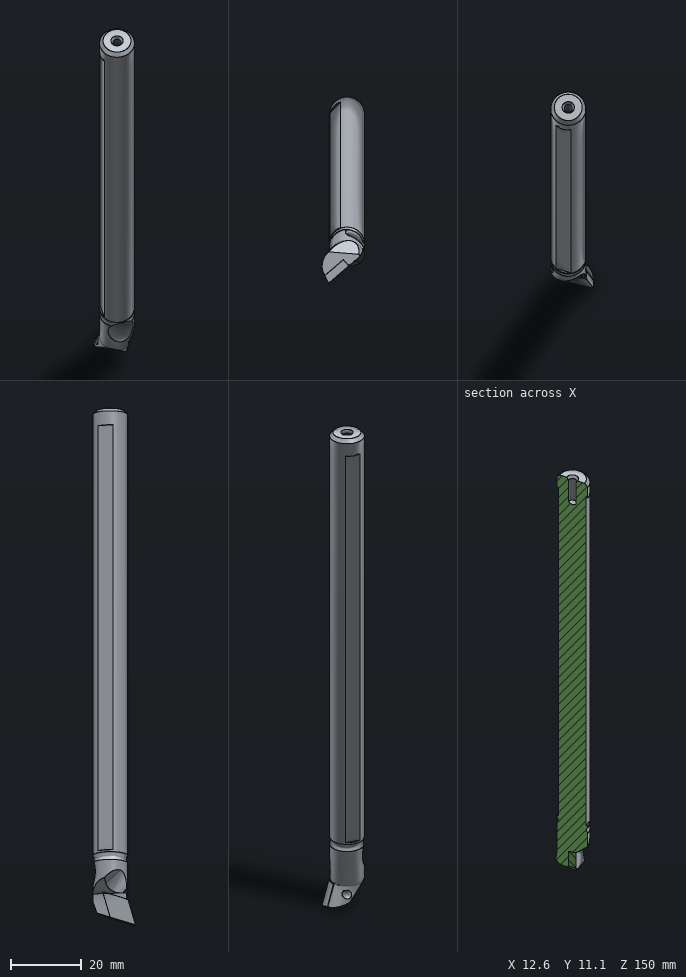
import cadquery as cq
import math

LENGTH = 150.0
SHANK_DIAMETER = LENGTH / 15
SHANK_RADIUS = SHANK_DIAMETER / 2
END_CHAMFER = 1.0
FLAT_HALF_SPACING = 4.5
FLAT_BOTTOM = 21.3
FLAT_TOP = 144.9
GROOVE_BOTTOM = 18.5
GROOVE_TOP = 20.7
GROOVE_DEPTH = 0.38

COOLANT_MOUTH_DIAMETER = 3.5
COOLANT_BORE_DIAMETER = 2.2
COOLANT_MOUTH_DEPTH = 0.9
COOLANT_DEPTH = 9.0
DRILL_POINT_ANGLE = 118.0

HEAD_TOP = 7.4
HEAD_LEAN_X = 0.25
HEAD_LEAN_Y = 0.23
BELOW_TIP = 3.0

OVERALL_WIDTH = 12.6
TIP_X = SHANK_RADIUS - OVERALL_WIDTH
RAKE_TILT = 9.0
INSERT_EDGE = 7.8
INSERT_THICKNESS = 2.4
CLEARANCE_ANGLE = 7.0
END_EDGE_ANGLE = 19.0
INSERT_TIP_ANGLE = 55.0
SCREW_HOLE_DIAMETER = 2.4

POCKET_FLOOR_TOP = 9.5
POCKET_WALL_ANGLE = 45.0
SCOOP_X = -4.5
SCOOP_START = 9.9
SCOOP_RADIUS = 8.7
SCOOP_ARC_ANGLE = 45.0
SCOOP_DROP = 0.87

SCALLOP_CENTRE_Z = 15.6
SCALLOP_DEPTH = 1.6
SCALLOP_RADIUS = 6.9

FACET_POINT = (2.1, -4.8, 6.5)
FACET_NORMAL = (8.5, -5.0, -6.3)

CUTTER_SIZE = 30.0

tilt_slope = math.tan(math.radians(RAKE_TILT))
rake_plane = cq.Plane(origin=(TIP_X, 0, 0), xDir=(1, tilt_slope, 0), normal=(tilt_slope, -1, 0))


def insert_corner(*edge_angles):
    """Local point reached from the tip by one insert edge along each angle."""
    return (
        sum(INSERT_EDGE * math.cos(math.radians(a)) for a in edge_angles),
        sum(INSERT_EDGE * math.sin(math.radians(a)) for a in edge_angles),
    )


side_edge_angle = END_EDGE_ANGLE + INSERT_TIP_ANGLE
far_corner = insert_corner(END_EDGE_ANGLE, side_edge_angle)


def rake_y(x):
    """Y of the rake plane at a given X."""
    return (x - TIP_X) * tilt_slope


def make_insert():
    corners = [(0, 0), insert_corner(END_EDGE_ANGLE), far_corner, insert_corner(side_edge_angle)]
    outline = cq.Workplane(rake_plane).polyline(corners).close()
    return outline.extrude(INSERT_THICKNESS, taper=CLEARANCE_ANGLE)


def shank():
    bar = cq.Workplane("XY").workplane(offset=HEAD_TOP).circle(SHANK_RADIUS).extrude(LENGTH - HEAD_TOP)
    return bar.faces(">Z").chamfer(END_CHAMFER)


def shank_flats():
    """Material outside the two long flats on the -Y and +Y sides."""
    flats = cq.Workplane("XY")
    for side in (-1, 1):
        flats = flats.add(
            cq.Workplane("XY")
            .box(SHANK_DIAMETER, SHANK_RADIUS, FLAT_TOP - FLAT_BOTTOM, centered=(True, True, False))
            .translate((0, side * (FLAT_HALF_SPACING + SHANK_RADIUS / 2), FLAT_BOTTOM))
        )
    return flats.combine()


def neck_groove():
    middle = (GROOVE_BOTTOM + GROOVE_TOP) / 2
    return (
        cq.Workplane("XZ")
        .moveTo(SHANK_RADIUS, GROOVE_BOTTOM)
        .threePointArc((SHANK_RADIUS - GROOVE_DEPTH, middle), (SHANK_RADIUS, GROOVE_TOP))
        .lineTo(SHANK_DIAMETER, GROOVE_TOP)
        .lineTo(SHANK_DIAMETER, GROOVE_BOTTOM)
        .close()
        .revolve(360, (0, 0, 0), (0, 1, 0))
    )


def coolant_hole():
    bore_radius = COOLANT_BORE_DIAMETER / 2
    point_depth = bore_radius / math.tan(math.radians(DRILL_POINT_ANGLE / 2))
    profile = [
        (0, LENGTH),
        (COOLANT_MOUTH_DIAMETER / 2, LENGTH),
        (bore_radius, LENGTH - COOLANT_MOUTH_DEPTH),
        (bore_radius, LENGTH - COOLANT_DEPTH),
        (0, LENGTH - COOLANT_DEPTH - point_depth),
    ]
    return cq.Workplane("XZ").polyline(profile).close().revolve(360, (0, 0, 0), (0, 1, 0))


def leaning_head():
    drop = HEAD_TOP + BELOW_TIP
    circle = cq.Wire.makeCircle(SHANK_RADIUS, cq.Vector(0, 0, HEAD_TOP), cq.Vector(0, 0, 1))
    return cq.Solid.extrudeLinear(circle, [], cq.Vector(-HEAD_LEAN_X * drop, -HEAD_LEAN_Y * drop, -drop))


def end_relief():
    """Everything beyond the end face, which lies flush with the lower side of the insert."""
    return (
        cq.Workplane("XY")
        .box(2 * CUTTER_SIZE, CUTTER_SIZE, 2 * CUTTER_SIZE)
        .translate((0, -CUTTER_SIZE / 2, 0))
        .rotate((0, 0, 0), (1, 0, 0), -CLEARANCE_ANGLE)
        .rotate((0, 0, 0), (0, 0, 1), END_EDGE_ANGLE)
        .val()
        .moved(rake_plane.location)
    )


def head_facet():
    plane = cq.Plane(origin=FACET_POINT, normal=FACET_NORMAL)
    return cq.Workplane(plane).rect(CUTTER_SIZE, CUTTER_SIZE).extrude(CUTTER_SIZE)


def pocket_floor_and_wall():
    """Clears the rake plane and slopes out to the +Y side above it."""
    start = cq.Vector(-CUTTER_SIZE, rake_y(-CUTTER_SIZE), 0)
    wall_run = CUTTER_SIZE
    wall_rise = wall_run * math.tan(math.radians(POCKET_WALL_ANGLE))
    outline = (
        cq.Workplane("YZ", origin=start)
        .moveTo(0, -BELOW_TIP)
        .lineTo(0, POCKET_FLOOR_TOP)
        .lineTo(wall_run, POCKET_FLOOR_TOP + wall_rise)
        .lineTo(wall_run, -BELOW_TIP)
        .close()
        .wire()
    )
    sweep = cq.Vector(1, tilt_slope, 0) * (2 * CUTTER_SIZE)
    return cq.Solid.extrudeLinear(outline.val(), [], sweep)


def scoop_arc_point(angle):
    """Point of the scoop's arc, which starts upright at the rake plane."""
    turn = math.radians(angle)
    return SCOOP_RADIUS * (1 - math.cos(turn)), SCOOP_START + SCOOP_RADIUS * math.sin(turn)


def pocket_scoop():
    """Arched run-out of the pocket, rising towards the -X side."""
    lead = CUTTER_SIZE / 2
    end_y, end_z = scoop_arc_point(SCOOP_ARC_ANGLE)
    wall_run = CUTTER_SIZE / 2
    start = cq.Vector(SCOOP_X - lead, rake_y(SCOOP_X - lead), lead * SCOOP_DROP)
    outline = (
        cq.Workplane("YZ", origin=start)
        .moveTo(0, SCOOP_START)
        .threePointArc(scoop_arc_point(SCOOP_ARC_ANGLE / 2), (end_y, end_z))
        .lineTo(end_y + wall_run, end_z + wall_run)
        .lineTo(end_y + wall_run, SCOOP_START)
        .close()
        .wire()
    )
    sweep = cq.Vector(1, tilt_slope, -SCOOP_DROP) * (2 * lead)
    return cq.Solid.extrudeLinear(outline.val(), [], sweep)


def side_scallop():
    centre_x = SHANK_RADIUS - SCALLOP_DEPTH + SCALLOP_RADIUS
    return (
        cq.Workplane("XZ")
        .center(centre_x, SCALLOP_CENTRE_Z)
        .circle(SCALLOP_RADIUS)
        .extrude(CUTTER_SIZE, both=True)
    )


def screw_hole():
    """Hole under the middle of the insert, square to the rake face."""
    return (
        cq.Workplane(rake_plane)
        .center(far_corner[0] / 2, far_corner[1] / 2)
        .circle(SCREW_HOLE_DIAMETER / 2)
        .extrude(CUTTER_SIZE)
    )


def make_holder(insert_body):
    body = shank().union(cq.Workplane(leaning_head()))
    cuts = [
        shank_flats(),
        neck_groove(),
        coolant_hole(),
        end_relief(),
        head_facet(),
        pocket_floor_and_wall(),
        pocket_scoop(),
        side_scallop(),
        screw_hole(),
        insert_body,
    ]
    for cut in cuts:
        body = body.cut(cut)
    return body


insert = make_insert()
holder = make_holder(insert)

result = cq.Compound.makeCompound([holder.val(), insert.val()])